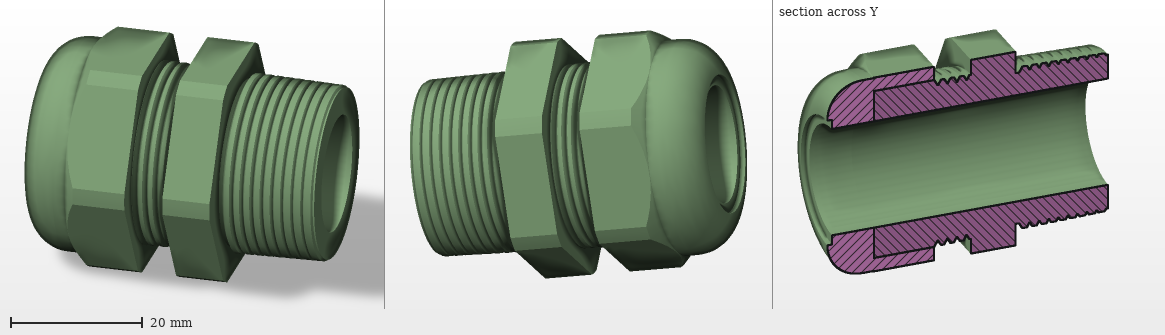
import cadquery as cq
import math


length = 45.95
across_flats = 33.0
across_corners = 36.65
bore_radius = 9.0
hex_sides = 6

dome_radius = 16.45
dome_fillet = 5.7
mouth_radius = 10.57
mouth_depth = 0.8
cap_hex_start = 7.6
cap_chamfer_length = 1.8
cap_end = 17.5

spigot_start = 7.68
flange_start = 23.5
flange_length = 7.4
flange_end = flange_start + flange_length

groove_half_angle = 30.0
crest_radius_at_cap = 14.15
crest_radius_at_end = 13.45

spigot_groove_start = 18.1
spigot_groove_count = 4
spigot_root_radius = 13.25

entry_neck_radius = 12.85
entry_neck_length = 0.5
entry_groove_start = 33.15
entry_groove_count = 8
entry_root_radius = 13.05
tail_groove_position = 45.7
tail_radius = 13.2
thread_pitch = (tail_groove_position - entry_groove_start) / entry_groove_count

flank_run = math.tan(math.radians(groove_half_angle))
crest_slope = (crest_radius_at_end - crest_radius_at_cap) / (length - cap_end)


def crest_radius(x):
    """Radius of the crest cone at station x."""
    return crest_radius_at_cap + crest_slope * (x - cap_end)


def crest_point(x, rise_direction, root_radius):
    """Point where the flank rising from a root at x meets the crest cone."""
    run = rise_direction * flank_run
    height = (crest_radius(x) - root_radius) / (1 - crest_slope * run)
    return (x + run * height, root_radius + height)


def groove_points(x, root_radius):
    """Outline of one V groove: crest, root, crest."""
    return [
        crest_point(x, -1, root_radius),
        (x, root_radius),
        crest_point(x, 1, root_radius),
    ]


def revolve_about_x(profile):
    """Close an outline drawn as (x, radius) and turn it around the X axis."""
    return profile.close().revolve(360, (0, 0, 0), (1, 0, 0))


def hex_prism(start, end):
    """Hexagon along X with flats facing +Z and -Z."""
    corner_diameter = across_flats / math.cos(math.pi / hex_sides)
    return cq.Workplane("YZ", origin=(start, 0, 0)).polygon(hex_sides, corner_diameter).extrude(end - start)


def make_cap_nut():
    """Domed ring with wrench flats, bored for the spigot."""
    dome_centre_radius = dome_radius - dome_fillet
    arc_middle = dome_fillet * math.sqrt(0.5)
    corner_radius = across_corners / 2
    outline = (
        cq.Workplane("XY")
        .moveTo(mouth_depth, bore_radius)
        .lineTo(mouth_depth, mouth_radius)
        .lineTo(0, mouth_radius)
        .lineTo(0, dome_centre_radius)
        .threePointArc(
            (dome_fillet - arc_middle, dome_centre_radius + arc_middle),
            (dome_fillet, dome_radius),
        )
        .lineTo(cap_hex_start, dome_radius)
        .lineTo(cap_hex_start + cap_chamfer_length, corner_radius)
        .lineTo(cap_end, corner_radius)
        .lineTo(cap_end, crest_radius_at_cap)
        .lineTo(spigot_start, crest_radius_at_cap)
        .lineTo(spigot_start, bore_radius)
    )
    return revolve_about_x(outline).intersect(hex_prism(0, cap_end))


def make_spigot():
    """Plain inside the cap nut, grooved between the nut and the flange."""
    points = [
        (spigot_start, bore_radius),
        (spigot_start, crest_radius_at_cap),
        (cap_end, crest_radius_at_cap),
    ]
    for i in range(spigot_groove_count):
        points += groove_points(spigot_groove_start + i * thread_pitch, spigot_root_radius)
    points += [
        (flange_start, crest_radius(flange_start)),
        (flange_start, bore_radius),
    ]
    return revolve_about_x(cq.Workplane("XY").polyline(points))


def make_flange():
    """Hexagonal flange whose corners are turned down to a cylinder."""
    rounded_corners = (
        cq.Workplane("YZ", origin=(flange_start, 0, 0))
        .circle(across_corners / 2)
        .circle(bore_radius)
        .extrude(flange_length)
    )
    return rounded_corners.intersect(hex_prism(flange_start, flange_end))


def make_entry_thread():
    """Grooved tail of the body behind a short neck."""
    neck_end = flange_end + entry_neck_length
    points = [
        (flange_end, bore_radius),
        (flange_end, entry_neck_radius),
        (neck_end, entry_neck_radius),
        crest_point(neck_end, 1, entry_neck_radius),
    ]
    for i in range(entry_groove_count):
        points += groove_points(entry_groove_start + i * thread_pitch, entry_root_radius)
    points += [
        crest_point(tail_groove_position, -1, entry_root_radius),
        (tail_groove_position, entry_root_radius),
        (length, tail_radius),
        (length, bore_radius),
    ]
    return revolve_about_x(cq.Workplane("XY").polyline(points))


def make_body():
    """Spigot, flange and entry thread joined as one solid."""
    return make_spigot().union(make_flange()).union(make_entry_thread())


cap_nut = make_cap_nut()
body = make_body()

result = cq.Compound.makeCompound([cap_nut.solids().val(), body.solids().val()])